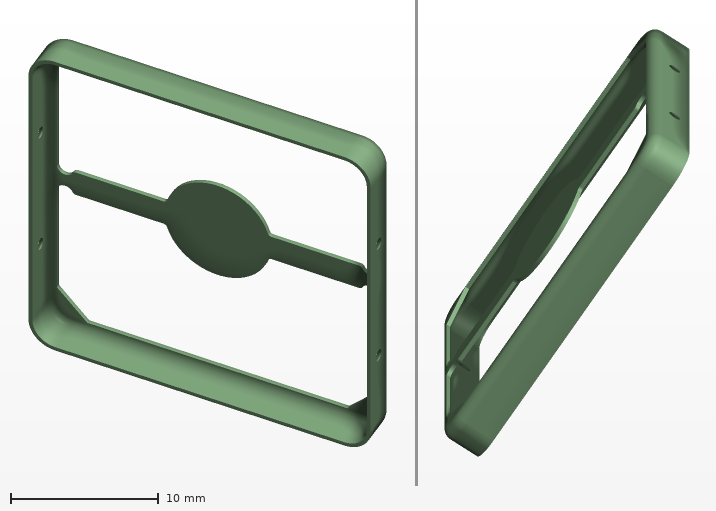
import cadquery as cq
import math

frame_size = 25.9
frame_depth = 3.0
corner_radius = 2.0
wall = 0.3
back_edge_radius = 0.8
inner_edge_radius = back_edge_radius - wall
opening_inset = back_edge_radius

gusset_leg = 2.3

disc_radius = 4.0
strap_width = 2.0
neck_width = 1.0
notch_radius = 0.625
strap_corner_radius = 0.3

hole_diameter = 0.87
hole_spacing = 10.0
hole_from_rim = 1.2

half_size = frame_size / 2
half_opening = half_size - opening_inset
half_strap = strap_width / 2
plate_front = frame_depth - wall


def prism(sketch, y_start, y_end):
    """Extrude an outline drawn in X and Z from y_start to y_end."""
    return sketch(cq.Workplane("XZ", origin=(0, y_start, 0))).extrude(y_start - y_end)


def rounded_square(inset, y_start, y_end):
    """Square block with rounded corners, set in from the outside of the frame."""
    side = frame_size - 2 * inset
    block = prism(lambda plane: plane.rect(side, side), y_start, y_end)
    return block.edges("|Y").fillet(corner_radius - inset)


def make_frame():
    """Thin wall with a rounded back edge that turns inward to the opening."""
    outside = rounded_square(0, 0, frame_depth).faces(">Y").edges().fillet(back_edge_radius)
    cavity = rounded_square(wall, 0, plate_front).faces(">Y").edges().fillet(inner_edge_radius)
    opening = rounded_square(opening_inset, 0, frame_depth)
    return outside.cut(cavity).cut(opening)


def make_gusset(x_sign, z_sign):
    """Flat triangle across one corner of the opening, trimmed to the frame's rounded corner."""
    corner = half_opening
    leg_end = half_opening - gusset_leg
    points = [
        (x_sign * corner, z_sign * corner),
        (x_sign * leg_end, z_sign * corner),
        (x_sign * corner, z_sign * leg_end),
    ]
    triangle = prism(lambda plane: plane.polyline(points).close(), plate_front, frame_depth)
    return triangle.intersect(rounded_square(opening_inset, plate_front, frame_depth))


def make_strap():
    """Disc on a strap that spans the opening and narrows to a neck at each end."""
    strap_length = 2 * half_opening
    bar = prism(lambda plane: plane.rect(strap_length, strap_width), plate_front, frame_depth)
    disc = prism(lambda plane: plane.circle(disc_radius), plate_front, frame_depth)
    notch_x = half_opening - notch_radius
    notch_z = neck_width / 2 + notch_radius
    notch_centers = [(x, z) for x in (-notch_x, notch_x) for z in (-notch_z, notch_z)]
    notches = prism(
        lambda plane: plane.pushPoints(notch_centers).circle(notch_radius), plate_front, frame_depth
    )
    strap = bar.union(disc).cut(notches)

    disc_corner_x = math.sqrt(disc_radius**2 - half_strap**2)
    notch_corner_x = notch_x - math.sqrt(notch_radius**2 - (notch_z - half_strap) ** 2)
    for corner_x in (disc_corner_x, notch_corner_x):
        for x in (-corner_x, corner_x):
            for z in (-half_strap, half_strap):
                corner = cq.selectors.NearestToPointSelector((x, frame_depth - wall / 2, z))
                strap = strap.edges("|Y").edges(corner).fillet(strap_corner_radius)
    return strap


def make_cross_holes():
    """Drills that run along X through both side walls, clear of the strap plate."""
    centers = [(hole_from_rim, -hole_spacing / 2), (hole_from_rim, hole_spacing / 2)]
    plane = cq.Workplane("YZ").pushPoints(centers)
    return plane.circle(hole_diameter / 2).extrude(half_size, both=True)


result = make_frame().union(make_strap())
for x_sign in (-1, 1):
    for z_sign in (-1, 1):
        result = result.union(make_gusset(x_sign, z_sign))
result = result.cut(make_cross_holes())